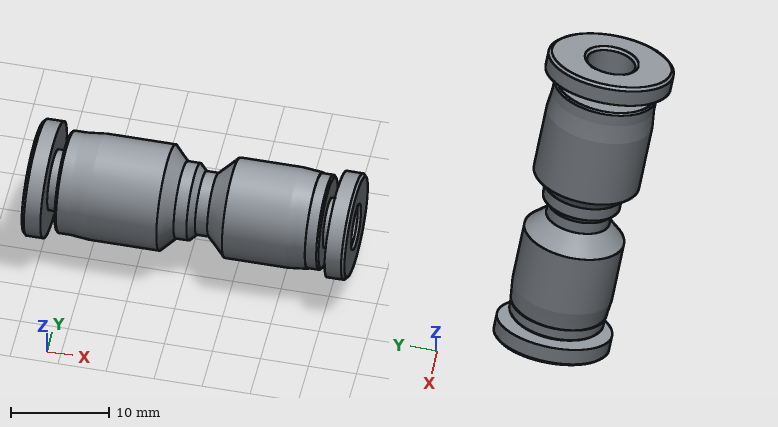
import cadquery as cq

TOTAL_LENGTH = 33.5

FLANGE_THICKNESS = 2.0
FLANGE_CHAMFER = 0.3
BORE_CHAMFER = 0.3
LARGE_FLANGE_Y, LARGE_FLANGE_Z = 13.0, 11.0
SMALL_FLANGE_Y, SMALL_FLANGE_Z = 12.0, 9.8
LARGE_STEM_DIAMETER, LARGE_BORE_DIAMETER = 6.3, 5.0
SMALL_STEM_DIAMETER, SMALL_BORE_DIAMETER = 5.2, 4.2

LARGE_END = 3.18
LARGE_TAPER_START, LARGE_BODY_START, LARGE_BODY_END = 4.65, 6.65, 13.87
LARGE_NECK_START, LARGE_NECK_END = 15.35, 16.68
SMALL_NECK_START, SMALL_NECK_END = 17.42, 18.7
SMALL_BODY_START, SMALL_BODY_END, SMALL_TAPER_END = 20.65, 27.2, 29.2
SMALL_END = 30.6
END_CHAMFER = 0.2

LARGE_END_DIAMETER, LARGE_BODY_DIAMETER = 10.6, 11.0
LARGE_NECK_DIAMETER, SMALL_NECK_DIAMETER = 8.0, 6.6
SMALL_BODY_DIAMETER, SMALL_TAPER_DIAMETER, SMALL_END_DIAMETER = 10.4, 9.98, 9.8

LARGE_COLLAR_LENGTH = LARGE_BODY_START
SMALL_COLLAR_LENGTH = TOTAL_LENGTH - SMALL_BODY_END


def cylinder_x(start, end, diameter):
    """Cylinder about the X axis from start to end."""
    return cq.Workplane("YZ", origin=(start, 0, 0)).circle(diameter / 2).extrude(end - start)


def make_housing():
    """Turned body with a stepped waist and a blind stem recess in each end."""
    large_end_radius = LARGE_END_DIAMETER / 2
    small_end_radius = SMALL_END_DIAMETER / 2
    profile = [
        (LARGE_END, 0),
        (LARGE_END, large_end_radius - END_CHAMFER),
        (LARGE_END + END_CHAMFER, large_end_radius),
        (LARGE_TAPER_START, large_end_radius),
        (LARGE_BODY_START, LARGE_BODY_DIAMETER / 2),
        (LARGE_BODY_END, LARGE_BODY_DIAMETER / 2),
        (LARGE_NECK_START, LARGE_NECK_DIAMETER / 2),
        (LARGE_NECK_END, LARGE_NECK_DIAMETER / 2),
        (SMALL_NECK_START, SMALL_NECK_DIAMETER / 2),
        (SMALL_NECK_END, SMALL_NECK_DIAMETER / 2),
        (SMALL_BODY_START, SMALL_BODY_DIAMETER / 2),
        (SMALL_BODY_END, SMALL_BODY_DIAMETER / 2),
        (SMALL_TAPER_END, SMALL_TAPER_DIAMETER / 2),
        (SMALL_TAPER_END, small_end_radius),
        (SMALL_END - END_CHAMFER, small_end_radius),
        (SMALL_END, small_end_radius - END_CHAMFER),
        (SMALL_END, 0),
    ]
    body = cq.Workplane("XY").polyline(profile).close().revolve(360, (0, 0, 0), (1, 0, 0))
    large_recess = cylinder_x(LARGE_END, LARGE_COLLAR_LENGTH, LARGE_STEM_DIAMETER)
    small_recess = cylinder_x(TOTAL_LENGTH - SMALL_COLLAR_LENGTH, SMALL_END, SMALL_STEM_DIAMETER)
    return body.cut(large_recess).cut(small_recess)


def make_collar(flange_y, flange_z, stem_diameter, bore_diameter, length):
    """Collar with its outer face at X = 0 and its stem pointing along +X."""
    flange = (
        cq.Workplane("YZ")
        .ellipse(flange_y / 2, flange_z / 2)
        .extrude(FLANGE_THICKNESS)
        .faces("<X")
        .chamfer(FLANGE_CHAMFER)
    )
    stem = cylinder_x(FLANGE_THICKNESS, length, stem_diameter)
    bore = cylinder_x(0, length, bore_diameter)
    collar = flange.union(stem).cut(bore)
    return collar.faces("<X").edges("%CIRCLE").chamfer(BORE_CHAMFER)


housing = make_housing()
large_collar = make_collar(
    LARGE_FLANGE_Y, LARGE_FLANGE_Z, LARGE_STEM_DIAMETER, LARGE_BORE_DIAMETER, LARGE_COLLAR_LENGTH
)
small_collar = (
    make_collar(
        SMALL_FLANGE_Y, SMALL_FLANGE_Z, SMALL_STEM_DIAMETER, SMALL_BORE_DIAMETER, SMALL_COLLAR_LENGTH
    )
    .mirror("YZ")
    .translate((TOTAL_LENGTH, 0, 0))
)

result = cq.Compound.makeCompound([housing.val(), large_collar.val(), small_collar.val()])